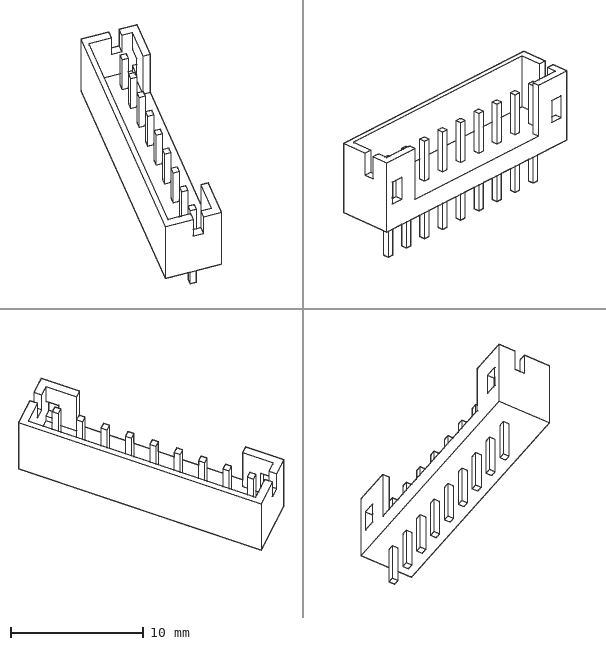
import cadquery as cq

length = 19.9
depth = 4.5
height = 5.99
end_wall = 0.64
back_wall = 0.6
front_wall = 0.42
floor = 1.6

pin_count = 9
pin_row_length = 16.0
pin_size = 0.5
pin_row_y = 2.8
pin_tail = 3.4
pin_top_gap = 0.95

back_tab = 3.15
notch_depth = 1.91
notch_width = 0.82
window_width = 1.03
window_sill = 2.19

notch_bottom = height - notch_depth
inner_back_y = depth - back_wall
pin_pitch = pin_row_length / (pin_count - 1)
pin_back_y = pin_row_y + pin_size / 2


def block(x_range, y_range, z_range):
    """Box spanning the given (low, high) range along each axis."""
    (x0, x1), (y0, y1), (z0, z1) = x_range, y_range, z_range
    return cq.Workplane("XY").box(x1 - x0, y1 - y0, z1 - z0, centered=False).translate((x0, y0, z0))


def make_shell():
    """Housing with its cavity and the wide gap between the two back tabs."""
    body = block((0, length), (0, depth), (0, height))
    cavity = block((end_wall, length - end_wall), (front_wall, inner_back_y), (floor, height))
    back_gap = block((back_tab, length - back_tab), (inner_back_y, depth), (floor, height))
    return body.cut(cavity).cut(back_gap)


def cut_end_notches(body):
    """Slot down from the rim of both end walls, its back side flush with the backs of the pins."""
    for x_start in (0, length - end_wall):
        x_range = (x_start, x_start + end_wall)
        y_range = (pin_back_y - notch_width, pin_back_y)
        body = body.cut(block(x_range, y_range, (notch_bottom, height)))
    return body


def cut_tab_windows(body):
    """Window through each back tab, next to the end wall, its top level with the notch bottoms."""
    for x_start in (end_wall, length - end_wall - window_width):
        x_range = (x_start, x_start + window_width)
        body = body.cut(block(x_range, (inner_back_y, depth), (window_sill, notch_bottom)))
    return body


def add_pins(body):
    """Row of pins centred along the housing."""
    first_pin_x = (length - pin_row_length) / 2
    y_range = (pin_back_y - pin_size, pin_back_y)
    z_range = (-pin_tail, height - pin_top_gap)
    for index in range(pin_count):
        pin_x = first_pin_x + index * pin_pitch
        x_range = (pin_x - pin_size / 2, pin_x + pin_size / 2)
        body = body.union(block(x_range, y_range, z_range))
    return body


shell = make_shell()
shell = cut_end_notches(shell)
shell = cut_tab_windows(shell)
result = add_pins(shell)